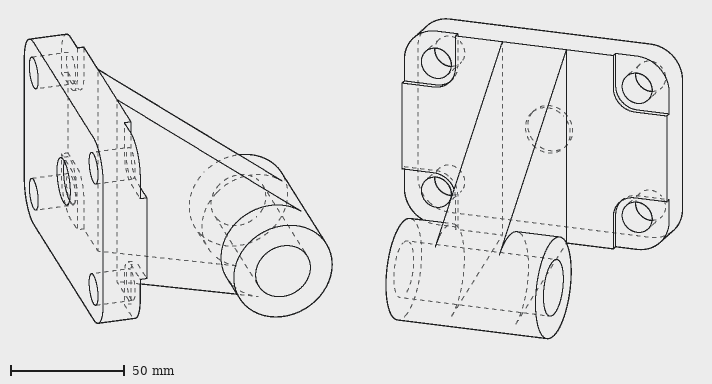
import cadquery as cq
import math

plate_width = 124.0
plate_height = 90.0
plate_thickness = 20.0
corner_radius = 15.0

bolt_diameter = 14.0
bolt_x = plate_width / 2 - corner_radius
bolt_z = plate_height / 2 - corner_radius

seat_radius = 10.0
seat_depth = 3.0

recess_diameter = 21.0
recess_depth = 3.0

barrel_diameter = 45.0
barrel_length = 70.0
bore_diameter = 25.0
rib_width = 30.0
barrel_y = 90.0
barrel_rise = 5.0
barrel_z = barrel_rise - plate_height / 2


def x_cylinder(diameter, length):
    """Cylinder on the barrel axis, centred on X = 0."""
    return (
        cq.Workplane("YZ")
        .center(barrel_y, barrel_z)
        .circle(diameter / 2)
        .extrude(length / 2, both=True)
    )


def tangent_point(start_y, start_z, side):
    """Point where a line from the start touches the barrel; side is +1 above, -1 below."""
    to_y = start_y - barrel_y
    to_z = start_z - barrel_z
    spread = math.acos(barrel_diameter / 2 / math.hypot(to_y, to_z))
    angle = math.atan2(to_z, to_y) - side * spread
    return (
        barrel_y + barrel_diameter / 2 * math.cos(angle),
        barrel_z + barrel_diameter / 2 * math.sin(angle),
    )


def make_plate():
    return (
        cq.Workplane("XY")
        .box(plate_width, plate_thickness, plate_height)
        .translate((0, plate_thickness / 2, 0))
        .edges("|Y")
        .fillet(corner_radius)
    )


def make_rib():
    top = plate_height / 2
    return (
        cq.Workplane("YZ")
        .moveTo(plate_thickness, -top)
        .lineTo(*tangent_point(plate_thickness, -top, -1))
        .lineTo(barrel_y, barrel_z)
        .lineTo(*tangent_point(plate_thickness, top, 1))
        .lineTo(plate_thickness, top)
        .close()
        .extrude(rib_width / 2, both=True)
    )


def make_corner_seat():
    """Cutter open to the plate edges, with one rounded inner corner."""
    size = corner_radius + seat_radius
    center_x = (plate_width - size) / 2
    center_y = plate_thickness - seat_depth / 2
    center_z = (plate_height - size) / 2
    return (
        cq.Workplane("XY")
        .box(size, seat_depth, size)
        .edges("|Y")
        .edges("<X and <Z")
        .fillet(seat_radius)
        .translate((center_x, center_y, center_z))
    )


def y_cylinder(x, z, diameter, depth):
    """Cylinder running back from the front face of the plate."""
    return (
        cq.Workplane("XZ")
        .center(x, z)
        .circle(diameter / 2)
        .extrude(-depth)
    )


plate = make_plate().cut(y_cylinder(0, 0, recess_diameter, recess_depth))
corner_seat = make_corner_seat()
for side_x in (-1, 1):
    for side_z in (-1, 1):
        seat = corner_seat
        if side_x < 0:
            seat = seat.mirror("YZ")
        if side_z < 0:
            seat = seat.mirror("XY")
        plate = plate.cut(seat)
        plate = plate.cut(y_cylinder(side_x * bolt_x, side_z * bolt_z, bolt_diameter, plate_thickness))

barrel = x_cylinder(barrel_diameter, barrel_length)
bore = x_cylinder(bore_diameter, barrel_length)
result = plate.union(make_rib()).union(barrel).cut(bore)